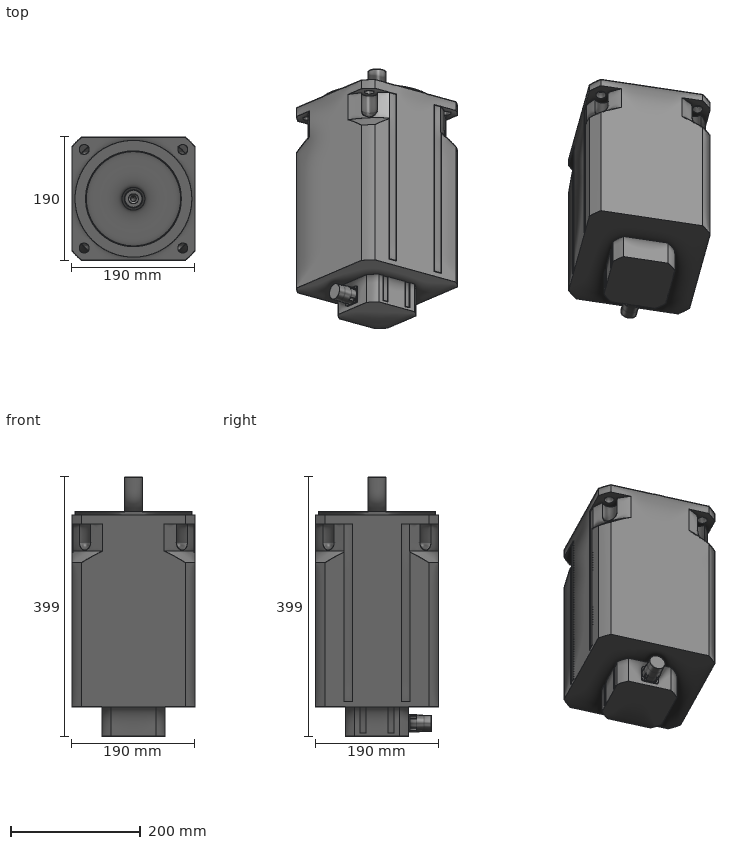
import cadquery as cq
import math


total_height = 399.0
shaft_length = 53.0
collar_height = 4.8
flange_thickness = 14.5
relief_height = 41.5
box_height = 45.5

collar_top = total_height - shaft_length
flange_top = collar_top - collar_height
flange_bottom = flange_top - flange_thickness
relief_floor = flange_bottom - relief_height
housing_bottom = box_height

housing_width = 190.0
housing_corner_radius = 124.0
relief_radius = 106.0
collar_diameter = 180.0
recess_diameter = 147.5
recess_depth = 4.8
recess_wall_taper = 1.0
recess_floor = collar_top - recess_depth

bolt_circle_radius = 107.5
bolt_hole_diameter = 15.0
pocket_circle_radius = 102.0
pocket_depth = 40.5
pocket_diameter = 25.0

side_slot_inner = 37.5
side_slot_outer = 51.0
side_slot_depth = 1.5
side_slot_end_gap = 8.5

box_width = 97.5
box_corner_radius = 60.0
box_slot_inner = 17.0
box_slot_outer = 26.0
box_slot_depth = 1.5
box_slot_end_gap = 4.8

shaft_diameter = 28.0
shaft_chamfer = 0.8
shoulder_diameter = 35.0
shoulder_height = 0.5
center_hole_diameter = 8.8
center_hole_depth = 16.0
drill_tip_angle = 118.0
countersink_diameter = 15.0
countersink_depth = 3.5

connector_axis_z = 20.0
connector_flange_width = 26.7
connector_flange_thickness = 2.5
connector_flange_fillet = 2.8
connector_base_length = 9.5
connector_taper_length = 12.0
connector_tip_length = 11.0
connector_tip_diameter = 24.7
connector_screw_offset = 8.98
connector_screw_diameter = 2.7
connector_scallop_diameter = 5.0


def round_cornered_prism(width, corner_radius, bottom, top):
    """Square prism whose corners are trimmed by a cylinder about the motor axis."""
    height = top - bottom
    square = cq.Workplane("XY").workplane(offset=bottom).rect(width, width).extrude(height)
    trim = cq.Workplane("XY").workplane(offset=bottom).circle(corner_radius).extrude(height)
    return square.intersect(trim)


def side_slots(width, depth, inner, outer, bottom, top):
    """Four shallow vertical slots, two in each of the -X and +X faces."""
    slot_centers = [
        (side * (width - depth) / 2, half * (inner + outer) / 2)
        for side in (-1, 1)
        for half in (-1, 1)
    ]
    return (
        cq.Workplane("XY").workplane(offset=bottom)
        .pushPoints(slot_centers).rect(depth, outer - inner).extrude(top - bottom)
    )


def corner_relief():
    """Ring cut that undercuts the corners below the flange, with a 45 degree lower wall."""
    slope_run = housing_corner_radius - relief_radius
    return (
        cq.Workplane("XZ")
        .moveTo(relief_radius, flange_bottom)
        .lineTo(relief_radius, relief_floor)
        .lineTo(relief_radius + 2 * slope_run, relief_floor - 2 * slope_run)
        .lineTo(relief_radius + 2 * slope_run, flange_bottom)
        .close()
        .revolve(360, (0, 0, 0), (0, 1, 0))
    )


def bolt_head_pocket(x, y):
    """Vertical ball-ended pocket hanging from the underside of the flange."""
    radius = pocket_diameter / 2
    ball_center_z = flange_bottom - pocket_depth + radius
    bore = (
        cq.Workplane("XY").workplane(offset=ball_center_z)
        .center(x, y).circle(radius).extrude(flange_bottom - ball_center_z)
    )
    ball = cq.Workplane("XY").sphere(radius).translate((x, y, ball_center_z))
    return bore.union(ball)


def pilot_recess():
    """Shallow recess in the collar with a slightly tapered wall."""
    rim_radius = recess_diameter / 2
    return (
        cq.Workplane("XZ")
        .moveTo(0, recess_floor)
        .lineTo(rim_radius - recess_wall_taper, recess_floor)
        .lineTo(rim_radius, collar_top)
        .lineTo(0, collar_top)
        .close()
        .revolve(360, (0, 0, 0), (0, 1, 0))
    )


def make_housing():
    """Motor housing with its mounting flange, pilot collar and encoder box."""
    body = round_cornered_prism(housing_width, housing_corner_radius, housing_bottom, flange_top)
    body = body.cut(corner_relief())
    body = body.cut(side_slots(
        housing_width, side_slot_depth, side_slot_inner, side_slot_outer,
        housing_bottom + side_slot_end_gap, flange_bottom,
    ))

    collar = (
        cq.Workplane("XY").workplane(offset=flange_top)
        .circle(collar_diameter / 2).extrude(collar_height)
    )
    body = body.union(collar).cut(pilot_recess())

    for corner in range(4):
        angle = math.radians(45 + 90 * corner)
        direction = (math.cos(angle), math.sin(angle))
        body = body.cut(bolt_head_pocket(*(pocket_circle_radius * d for d in direction)))
        bolt_hole = (
            cq.Workplane("XY").workplane(offset=flange_bottom)
            .center(*(bolt_circle_radius * d for d in direction))
            .circle(bolt_hole_diameter / 2).extrude(flange_thickness)
        )
        body = body.cut(bolt_hole)

    box = round_cornered_prism(box_width, box_corner_radius, 0, box_height)
    box = box.cut(side_slots(
        box_width, box_slot_depth, box_slot_inner, box_slot_outer, box_slot_end_gap, box_height,
    ))
    return body.union(box)


def make_shaft():
    """Shaft standing on the recess floor, with a low shoulder and a center-drilled end."""
    shaft_radius = shaft_diameter / 2
    shoulder_radius = shoulder_diameter / 2
    hole_radius = center_hole_diameter / 2
    hole_floor = total_height - center_hole_depth
    tip_depth = hole_radius / math.tan(math.radians(drill_tip_angle / 2))
    return (
        cq.Workplane("XZ")
        .moveTo(0, recess_floor)
        .lineTo(shoulder_radius, recess_floor)
        .lineTo(shoulder_radius, recess_floor + shoulder_height)
        .lineTo(shaft_radius, recess_floor + shoulder_height)
        .lineTo(shaft_radius, total_height - shaft_chamfer)
        .lineTo(shaft_radius - shaft_chamfer, total_height)
        .lineTo(countersink_diameter / 2, total_height)
        .lineTo(hole_radius, total_height - countersink_depth)
        .lineTo(hole_radius, hole_floor)
        .lineTo(0, hole_floor - tip_depth)
        .close()
        .revolve(360, (0, 0, 0), (0, 1, 0))
    )


def make_connector():
    """Round plug on a square flange; built along +Z, then laid over to point along +Y."""
    flange = (
        cq.Workplane("XY").rect(connector_flange_width, connector_flange_width)
        .extrude(connector_flange_thickness)
        .edges("|Z").fillet(connector_flange_fillet)
    )
    base_radius = connector_flange_width / 2
    tip_radius = connector_tip_diameter / 2
    base_end = connector_flange_thickness + connector_base_length
    taper_end = base_end + connector_taper_length
    tip_end = taper_end + connector_tip_length
    plug = (
        cq.Workplane("XZ")
        .moveTo(0, connector_flange_thickness)
        .lineTo(base_radius, connector_flange_thickness)
        .lineTo(base_radius, base_end)
        .lineTo(tip_radius, taper_end)
        .lineTo(tip_radius, tip_end)
        .lineTo(0, tip_end)
        .close()
        .revolve(360, (0, 0, 0), (0, 1, 0))
    )

    screw_pitch = 2 * connector_screw_offset
    scallops = (
        cq.Workplane("XY").workplane(offset=connector_flange_thickness)
        .rect(screw_pitch, screw_pitch, forConstruction=True).vertices()
        .circle(connector_scallop_diameter / 2).extrude(connector_base_length)
    )
    screw_holes = (
        cq.Workplane("XY").rect(screw_pitch, screw_pitch, forConstruction=True).vertices()
        .circle(connector_screw_diameter / 2).extrude(connector_flange_thickness)
    )
    upright = flange.union(plug).cut(scallops).cut(screw_holes)
    return (
        upright.rotate((0, 0, 0), (1, 0, 0), -90)
        .translate((0, box_width / 2, connector_axis_z))
    )


housing = make_housing()
shaft = make_shaft()
connector = make_connector()

result = cq.Compound.makeCompound([housing.val(), shaft.val(), connector.val()])